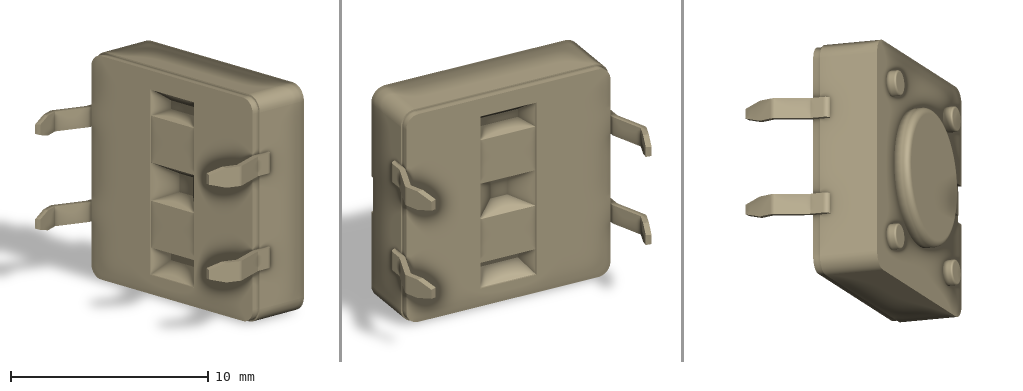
import cadquery as cq
import math


BODY_SIDE = 12.0
BODY_CORNER = 0.8
BASE_INSET = 0.1
BASE_HEIGHT = 0.4
BODY_BACK = 3.5

BUTTON_DIAMETER = 7.1
BUTTON_HEIGHT = 0.79
BUTTON_FILLET = 0.3
STUD_DIAMETER = 1.3
STUD_HEIGHT = 0.5
STUD_EDGE = 0.1
STUD_OFFSET = 4.0

NOTCH_WIDTH = 2.0
NOTCH_HEIGHT = 0.2
NOTCH_DEPTH = 0.83
KEY_WIDTH = 1.25
KEY_SETBACK = 0.42

WINDOW_WIDTH = 3.24
WINDOW_LENGTH = 9.77
WINDOW_DEPTH = 0.1
POCKET_DEPTH = 0.9
CENTER_POCKET_LENGTH = 2.02
CENTER_FLOOR_SIDE = 0.99
END_POCKET_LENGTH = 1.4
END_FLOOR_WIDTH = 2.2
END_FLOOR_LENGTH = 0.46
END_FLOOR_GAP = 0.28

PIN_SPAN = 13.9
PIN_THICKNESS = 0.3
PIN_WIDTH = 1.04
PIN_TIP_WIDTH = 0.5
PIN_OFFSET = 2.5
PIN_TOP = 1.0
PIN_TIP = -3.5
PIN_TAPER_START = -2.6
PIN_BEND = math.radians(20)


def block(x_size, z_size, corner, y_start, y_end):
    """Rounded rectangular plate between two Y levels."""
    plate = cq.Workplane("XY").box(x_size, y_end - y_start, z_size)
    return plate.edges("|Y").fillet(corner).translate((0, (y_start + y_end) / 2, 0))


def round_boss(diameter, height):
    """Cylinder standing on the back face, pointing to +Y."""
    plane = cq.Workplane("XZ", origin=(0, BODY_BACK, 0))
    return plane.circle(diameter / 2).extrude(-height)


def tapered_pocket(width, length, z_center, floor_width, floor_length, floor_z):
    """Solid to cut: a rectangle at the window floor narrowing to the pocket floor."""
    return (
        cq.Workplane("XZ", origin=(0, WINDOW_DEPTH, 0))
        .center(0, z_center)
        .rect(width, length)
        .workplane(offset=-POCKET_DEPTH)
        .center(0, floor_z - z_center)
        .rect(floor_width, floor_length)
        .loft(ruled=True)
    )


def make_housing():
    base_side = BODY_SIDE - 2 * BASE_INSET
    body = block(BODY_SIDE, BODY_SIDE, BODY_CORNER, BASE_HEIGHT, BODY_BACK)
    base = block(base_side, base_side, BODY_CORNER - BASE_INSET, 0, BASE_HEIGHT)
    return body.union(base)


def notch_block(depth, width):
    """Box as high as the notch, starting at X = 0 and Y = 0."""
    return cq.Workplane("XY").box(depth, NOTCH_HEIGHT, width, centered=(False, False, True))


def make_notch():
    """Solid to cut: a shallow notch with a key left standing in its middle."""
    slot = notch_block(NOTCH_DEPTH, NOTCH_WIDTH)
    key = notch_block(NOTCH_DEPTH - KEY_SETBACK, KEY_WIDTH).translate((KEY_SETBACK, 0, 0))
    return slot.cut(key).translate((-BODY_SIDE / 2, BODY_BACK - NOTCH_HEIGHT, 0))


def make_window():
    window = cq.Workplane("XY").box(WINDOW_WIDTH, WINDOW_DEPTH, WINDOW_LENGTH)
    window = window.translate((0, WINDOW_DEPTH / 2, 0))
    window = window.union(tapered_pocket(
        WINDOW_WIDTH, CENTER_POCKET_LENGTH, 0, CENTER_FLOOR_SIDE, CENTER_FLOOR_SIDE, 0
    ))
    inner_edge = WINDOW_LENGTH / 2 - END_POCKET_LENGTH
    pocket_z = inner_edge + END_POCKET_LENGTH / 2
    floor_z = inner_edge + END_FLOOR_GAP + END_FLOOR_LENGTH / 2
    for side in (-1, 1):
        window = window.union(tapered_pocket(
            WINDOW_WIDTH, END_POCKET_LENGTH, side * pocket_z,
            END_FLOOR_WIDTH, END_FLOOR_LENGTH, side * floor_z,
        ))
    return window


def make_pin():
    """Pin on the +X side at Z = 0: out of the wall, toward -Y, then outward and back inward."""
    t = PIN_THICKNESS
    sin_bend = math.sin(PIN_BEND)
    cos_bend = math.cos(PIN_BEND)
    wall = BODY_SIDE / 2
    outer = wall + t

    upper_end = (outer - t * cos_bend, -t * sin_bend)
    upper_mid = (outer - t * math.cos(PIN_BEND / 2), -t * math.sin(PIN_BEND / 2))
    elbow_x = PIN_SPAN / 2 - t
    elbow_y = upper_end[1] - (elbow_x - upper_end[0]) / math.tan(PIN_BEND)
    elbow_start = (elbow_x + t * cos_bend, elbow_y + t * sin_bend)
    elbow_end = (elbow_x + t * cos_bend, elbow_y - t * sin_bend)
    tip_outer = (elbow_end[0] - (elbow_end[1] - PIN_TIP) * math.tan(PIN_BEND), PIN_TIP)
    tip_inner = (tip_outer[0] - t * cos_bend, tip_outer[1] + t * sin_bend)

    shoulder = t * math.sqrt(0.5)
    strip = (
        cq.Workplane("XY", origin=(0, 0, -PIN_WIDTH / 2))
        .moveTo(wall - t, PIN_TOP)
        .lineTo(wall, PIN_TOP)
        .threePointArc((wall + shoulder, PIN_TOP - t + shoulder), (outer, PIN_TOP - t))
        .lineTo(outer, 0)
        .lineTo(*elbow_start)
        .threePointArc((PIN_SPAN / 2, elbow_y), elbow_end)
        .lineTo(*tip_outer)
        .lineTo(*tip_inner)
        .lineTo(elbow_x, elbow_y)
        .lineTo(*upper_end)
        .threePointArc(upper_mid, (wall, 0))
        .lineTo(wall, PIN_TOP - t)
        .lineTo(wall - t, PIN_TOP - t)
        .close()
        .extrude(PIN_WIDTH)
    )
    outline = (
        cq.Workplane("YZ")
        .polyline([
            (PIN_TOP, PIN_WIDTH / 2),
            (PIN_TAPER_START, PIN_WIDTH / 2),
            (PIN_TIP, PIN_TIP_WIDTH / 2),
            (PIN_TIP, -PIN_TIP_WIDTH / 2),
            (PIN_TAPER_START, -PIN_WIDTH / 2),
            (PIN_TOP, -PIN_WIDTH / 2),
        ])
        .close()
        .extrude(PIN_SPAN)
    )
    return strip.intersect(outline)


result = make_housing().cut(make_notch()).cut(make_window())

button = round_boss(BUTTON_DIAMETER, BUTTON_HEIGHT).faces(">Y").edges().fillet(BUTTON_FILLET)
result = result.union(button)

stud = round_boss(STUD_DIAMETER, STUD_HEIGHT).faces(">Y").edges().fillet(STUD_EDGE)
for x_side in (-1, 1):
    for z_side in (-1, 1):
        result = result.union(stud.translate((x_side * STUD_OFFSET, 0, z_side * STUD_OFFSET)))

right_pin = make_pin()
left_pin = right_pin.mirror("YZ")
for z_side in (-1, 1):
    for pin in (right_pin, left_pin):
        result = result.union(pin.translate((0, 0, z_side * PIN_OFFSET)))